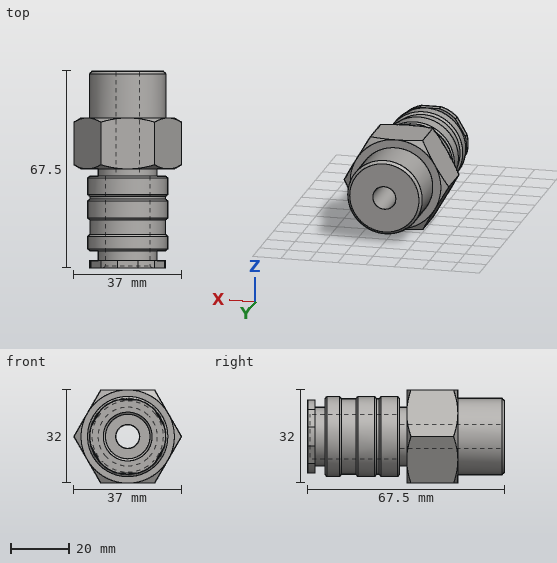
import cadquery as cq
import math

total_length = 67.5

hex_across_flats = 32.0
hex_start = 33.95
hex_end = 51.45
hex_chamfer_angle = 30.0

spigot_radius = 13.15
spigot_chamfer = 0.95

neck_radius = 10.1
groove_radius = 12.95
band_radius = 13.8
band_chamfer_length = 0.7
bands = [(5.9, 11.55), (16.5, 23.6), (24.5, 31.5)]

collar_thickness = 2.5
collar_radius = 13.0
collar_across_flats = 25.1

socket_radius = 7.6
socket_chamfer = 0.75
socket_depth = 31.5
passage_radius = 4.05


def cylinder(radius, start, end):
    return cq.Workplane("XZ", origin=(0, start, 0)).circle(radius).extrude(start - end)


def hexagon(across_flats, start, end):
    corner_diameter = across_flats / math.cos(math.pi / 6)
    return cq.Workplane("XZ", origin=(0, start, 0)).polygon(6, corner_diameter).extrude(start - end)


def revolved(profile):
    """Revolve (radius, Y) points about the Y axis."""
    return cq.Workplane("XY").polyline(profile).close().revolve(360, (0, 0, 0), (0, 1, 0))


def chamfered_hexagon():
    flat_radius = hex_across_flats / 2
    corner_radius = flat_radius / math.cos(math.pi / 6)
    corner_drop = (corner_radius - flat_radius) * math.tan(math.radians(hex_chamfer_angle))
    envelope = revolved([
        (0, hex_start),
        (flat_radius, hex_start),
        (corner_radius, hex_start + corner_drop),
        (corner_radius, hex_end - corner_drop),
        (flat_radius, hex_end),
        (0, hex_end),
    ])
    return hexagon(hex_across_flats, hex_start, hex_end).intersect(envelope)


def band(start, end):
    """Raised band whose chamfers fall to the groove radius."""
    return revolved([
        (0, start),
        (groove_radius, start),
        (band_radius, start + band_chamfer_length),
        (band_radius, end - band_chamfer_length),
        (groove_radius, end),
        (0, end),
    ])


def sleeve():
    sleeve_start = bands[0][0]
    sleeve_end = bands[-1][1]
    body = cylinder(groove_radius, sleeve_start, sleeve_end)
    for start, end in bands:
        body = body.union(band(start, end))
    return body


def collar():
    disc = cylinder(collar_radius, 0, collar_thickness)
    return disc.intersect(hexagon(collar_across_flats, 0, collar_thickness))


def bore():
    return revolved([
        (0, 0),
        (socket_radius + socket_chamfer, 0),
        (socket_radius, socket_chamfer),
        (socket_radius, socket_depth),
        (passage_radius, socket_depth),
        (passage_radius, total_length),
        (0, total_length),
    ])


spigot = cylinder(spigot_radius, hex_end, total_length).faces(">Y").edges().chamfer(spigot_chamfer)
neck = cylinder(neck_radius, 0, hex_start)

result = neck.union(collar()).union(sleeve()).union(chamfered_hexagon()).union(spigot).cut(bore())